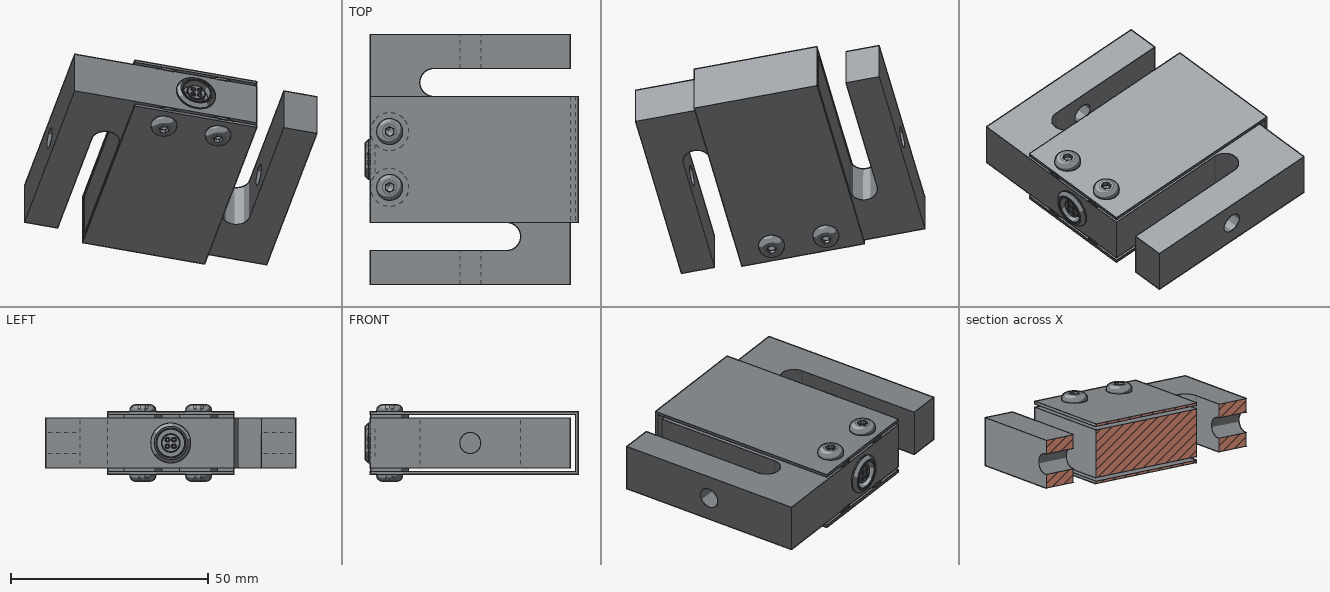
import cadquery as cq
import math

block_x = 50.8
block_y = 63.5
block_z = 12.7
arm_width = 8.7
slot_width = 7.05
slot_length = 38.15
arm_hole_dia = 5.35

cover_x = 52.85
cover_y = block_y - 2 * (arm_width + slot_width)
cover_z = 15.9
cover_thickness = 0.75

screw_from_edge = 4.95
screw_spacing = 14.15
washer_dia = 9.65
screw_head_dia = 6.6
screw_head_rim = 0.2
screw_head_height = 1.8
screw_top_dia = 3.7
dome_mid_radius = 2.9
dome_mid_height = 1.3
socket_across_corners = 2.55
socket_depth = 1.0
socket_point_depth = 0.65

connector_dia = 10.15
connector_height = 1.3
connector_chamfer = 0.9
connector_bore_dia = 7.05
connector_bore_depth = 2.55
connector_step_dia = 7.55
connector_step_depth = 0.2
plug_dia = 4.75
plug_chamfer = 0.2
plug_height = 1.9
contact_pitch = 1.65
contact_hole_dia = 1.2
contact_pin_dia = 0.7
contact_hole_depth = 0.75

block_left = -block_x / 2


def make_block():
    """Rectangular block with two opposed round-ended slots and a hole through each arm."""
    block = cq.Workplane("XY").box(block_x, block_y, block_z)
    slot_y = cover_y / 2 + slot_width / 2
    for side in (1, -1):
        open_edge = side * block_x / 2
        slot = (
            cq.Workplane("XY")
            .center(open_edge, side * slot_y)
            .slot2D(2 * slot_length, slot_width)
            .extrude(block_z, both=True)
        )
        arm_hole = (
            cq.Workplane("XZ", origin=(0, side * block_y / 2, 0))
            .circle(arm_hole_dia / 2)
            .extrude(side * (arm_width + slot_width / 2))
        )
        block = block.cut(slot).cut(arm_hole)
    return block


def make_cover():
    """Thin sheet bent into a U, open at -X and at both Y ends."""
    inside_x = cover_x - cover_thickness
    inside_z = cover_z - 2 * cover_thickness
    outside = cq.Workplane("XY").box(cover_x, cover_y, cover_z)
    inside = (
        cq.Workplane("XY")
        .box(inside_x, cover_y, inside_z)
        .translate((-cover_thickness / 2, 0, 0))
    )
    return outside.cut(inside).translate((block_left + cover_x / 2, 0, 0))


def make_screw():
    """Washer under the cover and domed socket head above it, on the +Z side of the origin."""
    washer = (
        cq.Workplane("XY", origin=(0, 0, block_z / 2))
        .circle(washer_dia / 2)
        .extrude(cover_z / 2 - cover_thickness - block_z / 2)
    )
    head = (
        cq.Workplane("XZ")
        .lineTo(screw_head_dia / 2, 0)
        .lineTo(screw_head_dia / 2, screw_head_rim)
        .threePointArc((dome_mid_radius, dome_mid_height), (screw_top_dia / 2, screw_head_height))
        .lineTo(0, screw_head_height)
        .close()
        .revolve(360, (0, 0, 0), (0, 1, 0))
    )
    socket = (
        cq.Workplane("XY", origin=(0, 0, screw_head_height - socket_depth))
        .transformed(rotate=(0, 0, 90))
        .polygon(6, socket_across_corners)
        .extrude(socket_depth)
    )
    socket_point_radius = socket_across_corners / 2 * math.cos(math.pi / 6)
    socket_point = cq.Workplane(
        cq.Solid.makeCone(
            socket_point_radius,
            0,
            socket_point_depth,
            pnt=cq.Vector(0, 0, screw_head_height - socket_depth),
            dir=cq.Vector(0, 0, -1),
        )
    )
    return washer.union(head.cut(socket).cut(socket_point).translate((0, 0, cover_z / 2)))


def make_connector():
    """Chamfered collar standing on the block side."""
    collar = (
        cq.Workplane("YZ", origin=(block_left, 0, 0))
        .circle(connector_dia / 2)
        .extrude(-connector_height)
    )
    return collar.faces("<X").edges().chamfer(connector_chamfer)


def make_connector_bore():
    """Socket space: a stepped round bore around a plug with four sunken contact pins."""
    face_x = block_left - connector_height
    floor_x = face_x + connector_bore_depth
    bore = (
        cq.Workplane("YZ", origin=(face_x, 0, 0))
        .circle(connector_bore_dia / 2)
        .extrude(connector_bore_depth)
    )
    step = (
        cq.Workplane("YZ", origin=(face_x, 0, 0))
        .circle(connector_step_dia / 2)
        .extrude(connector_step_depth)
    )
    plug = (
        cq.Workplane("YZ", origin=(floor_x, 0, 0))
        .circle(plug_dia / 2)
        .extrude(-plug_height)
        .faces("<X")
        .chamfer(plug_chamfer)
    )
    contact_gaps = (
        cq.Workplane("YZ", origin=(floor_x - plug_height, 0, 0))
        .rarray(contact_pitch, contact_pitch, 2, 2)
        .circle(contact_hole_dia / 2)
        .circle(contact_pin_dia / 2)
        .extrude(contact_hole_depth)
    )
    return bore.union(step).cut(plug).union(contact_gaps)


result = make_block().union(make_cover())

top_screw = make_screw()
bottom_screw = top_screw.mirror("XY")
for screw_y in (-screw_spacing / 2, screw_spacing / 2):
    for screw in (top_screw, bottom_screw):
        result = result.union(screw.translate((block_left + screw_from_edge, screw_y, 0)))

result = result.union(make_connector()).cut(make_connector_bore())